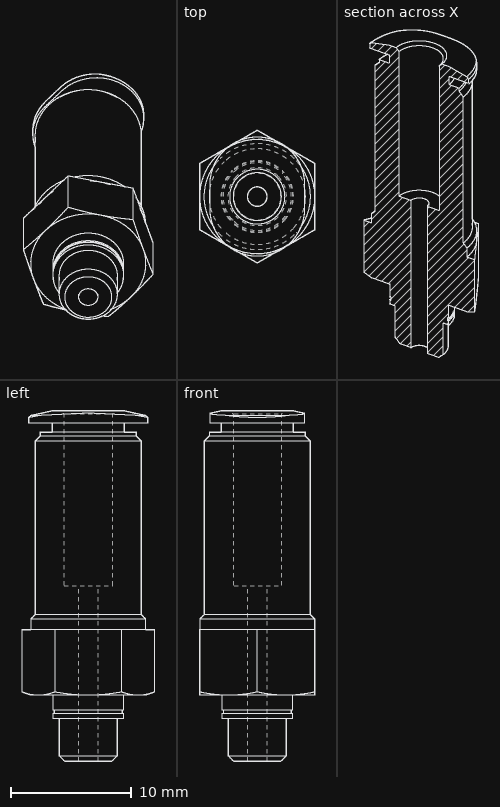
import cadquery as cq
import math

total_height = 29
nose_chamfer = 0.45
nose_top = 3.55
groove_bottom = 3.97
groove_top = 4.23
hex_bottom = 5.48
hex_top = 10.9
collar_top = 12.15
body_chamfer_bottom = 26.5
body_top = 27.23
flange_bottom = 27.98

nose_diameter = 4.8
neck_diameter = 5.85
groove_diameter = 5.63
collar_diameter = 9.5
body_diameter = 8.8
body_rim_diameter = 7.95
sleeve_diameter = 5.97

hex_across_corners = 11.0
hex_across_flats = hex_across_corners * math.cos(math.radians(30))
hex_chamfer_angle = 20

flange_width = 7.83
flange_length = 9.85
flange_cone_drop = 0.38
flange_bevel_diameter = 9.45
flange_bevel_drop = 0.17

bore_diameter = 3.97
bore_mouth_diameter = 4.55
bore_depth = 14.5
passage_diameter = 1.6


def cylinder(diameter, bottom, top):
    return cq.Workplane("XY").workplane(offset=bottom).circle(diameter / 2).extrude(top - bottom)


def make_nose():
    """Lower pin, chamfered at its end, with the grooved neck above it."""
    pin = cylinder(nose_diameter, 0, nose_top).faces("<Z").chamfer(nose_chamfer)
    ring = cylinder(neck_diameter, nose_top, groove_bottom)
    groove = cylinder(groove_diameter, groove_bottom, groove_top)
    neck = cylinder(neck_diameter, groove_top, hex_bottom)
    return pin.union(ring).union(groove).union(neck)


def make_hexagon():
    """Hexagon with corners on the Y axis, its lower corners cut by a cone."""
    prism = (
        cq.Workplane("XY")
        .workplane(offset=hex_bottom)
        .transformed(rotate=(0, 0, 90))
        .polygon(6, hex_across_corners)
        .extrude(hex_top - hex_bottom)
    )
    flat_radius = hex_across_flats / 2
    corner_radius = hex_across_corners / 2
    chamfer_height = (corner_radius - flat_radius) * math.tan(math.radians(hex_chamfer_angle))
    envelope = (
        cq.Workplane("XZ")
        .moveTo(0, hex_bottom)
        .lineTo(flat_radius, hex_bottom)
        .lineTo(corner_radius, hex_bottom + chamfer_height)
        .lineTo(corner_radius, hex_top)
        .lineTo(0, hex_top)
        .close()
        .revolve(360, (0, 0, 0), (0, 1, 0))
    )
    return prism.intersect(envelope)


def make_body():
    """Collar and main barrel, each with a 45 degree upper shoulder."""
    collar_chamfer = (collar_diameter - body_diameter) / 2
    collar = cylinder(collar_diameter, hex_top, collar_top).faces(">Z").chamfer(collar_chamfer)
    shoulder_height = (body_diameter - body_rim_diameter) / 2
    barrel_top = body_chamfer_bottom + shoulder_height
    barrel = cylinder(body_diameter, hex_top, barrel_top).faces(">Z").chamfer(shoulder_height)
    rim = cylinder(body_rim_diameter, barrel_top, body_top)
    return collar.union(barrel).union(rim)


def make_release_sleeve():
    """Round sleeve carrying the oblong flange."""
    sleeve = cylinder(sleeve_diameter, body_top, flange_bottom)
    oblong = (
        cq.Workplane("XY")
        .workplane(offset=flange_bottom)
        .slot2D(flange_length, flange_width, 90)
        .extrude(total_height - flange_bottom)
    )
    bevel_top = total_height - flange_cone_drop
    dome = (
        cq.Workplane("XZ")
        .moveTo(0, flange_bottom)
        .lineTo(flange_length / 2, flange_bottom)
        .lineTo(flange_length / 2, bevel_top - flange_bevel_drop)
        .lineTo(flange_bevel_diameter / 2, bevel_top)
        .lineTo(sleeve_diameter / 2, total_height)
        .lineTo(0, total_height)
        .close()
        .revolve(360, (0, 0, 0), (0, 1, 0))
    )
    return sleeve.union(oblong.intersect(dome))


def make_bore():
    """Tube socket with a chamfered mouth, and the narrow passage through the nose."""
    socket = cylinder(bore_diameter, total_height - bore_depth, total_height)
    mouth_chamfer = (bore_mouth_diameter - bore_diameter) / 2
    mouth = (
        cq.Workplane("XY")
        .workplane(offset=total_height - mouth_chamfer)
        .circle(bore_diameter / 2)
        .workplane(offset=mouth_chamfer)
        .circle(bore_mouth_diameter / 2)
        .loft()
    )
    passage = cylinder(passage_diameter, 0, total_height)
    return socket.union(mouth).union(passage)


outside = make_nose().union(make_hexagon()).union(make_body()).union(make_release_sleeve())
result = outside.cut(make_bore())